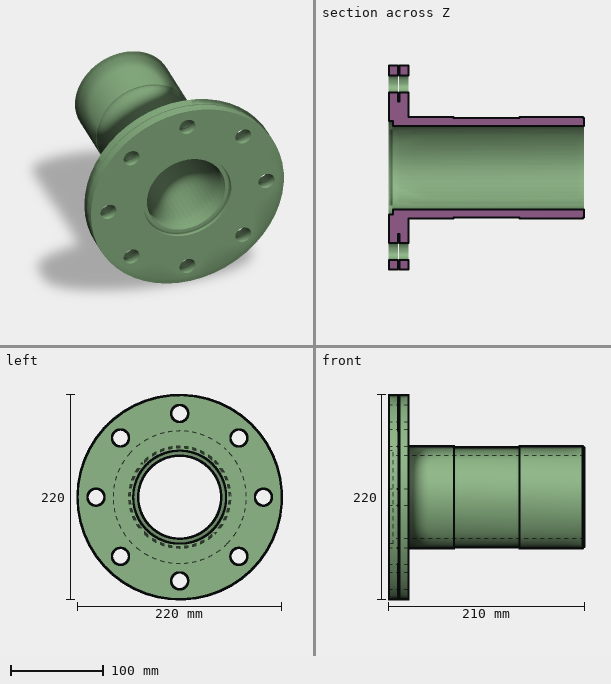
import cadquery as cq

total_length = 210.0
bore_diameter = 89.0

flange_diameter = 220.0
flange_thickness = 21.3
groove_width = 1.0
groove_diameter = 143.0

bolt_count = 8
bolt_hole_diameter = 18.0
bolt_circle_diameter = 180.0

recess_diameter = 100.0
recess_depth = 4.5

collar_diameter = 110.0
waist_diameter = 107.8
waist_start = 69.7
waist_end = 140.4
end_chamfer = 2.0


def cylinder(diameter, start, end):
    """Solid cylinder along X between two X positions."""
    return cq.Workplane("YZ", origin=(start, 0, 0)).circle(diameter / 2).extrude(end - start)


def make_flange():
    flange = cylinder(flange_diameter, 0, flange_thickness)
    groove_start = (flange_thickness - groove_width) / 2
    groove_end = groove_start + groove_width
    groove = cylinder(flange_diameter, groove_start, groove_end).cut(
        cylinder(groove_diameter, groove_start, groove_end)
    )
    bolt_holes = (
        cq.Workplane("YZ")
        .polarArray(bolt_circle_diameter / 2, 0, 360, bolt_count)
        .circle(bolt_hole_diameter / 2)
        .extrude(flange_thickness)
    )
    return flange.cut(groove).cut(bolt_holes)


def make_pipe():
    near_collar = cylinder(collar_diameter, 0, waist_start)
    waist = cylinder(waist_diameter, waist_start, waist_end)
    far_collar = cylinder(collar_diameter, waist_end, total_length)
    far_collar = far_collar.faces(">X").chamfer(end_chamfer)
    return near_collar.union(waist).union(far_collar)


bore = cylinder(bore_diameter, 0, total_length)
recess = cylinder(recess_diameter, 0, recess_depth)

result = make_flange().union(make_pipe()).cut(bore).cut(recess)